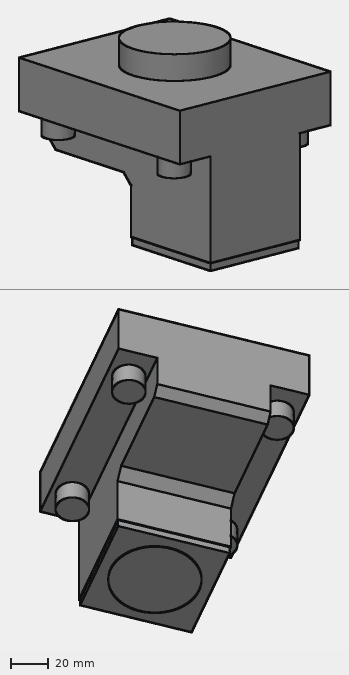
import cadquery as cq

plate_length = 130.0
plate_width = 108.0
plate_height = 30.0

boss_diameter = 59.9
boss_height = 15.0

leg_side = 64.2
leg_depth = 59.9
arm_depth = 25.0
outer_chamfer = 5.1
inner_chamfer = 6.0

pad_side = 63.2
pad_height = 4.5
disc_diameter = 50.0
disc_height = 0.5

pin_diameter = 18.0
pin_length = 11.7
pin_spacing_x = 93.6
pin_spacing_y = 84.0

right_x = plate_length / 2
left_x = -right_x
leg_left_x = right_x - leg_side
leg_center_x = right_x - leg_side / 2


def make_plate():
    plate = cq.Workplane("XY").box(plate_length, plate_width, plate_height, centered=(True, True, False))
    return plate.faces(">Z").workplane().circle(boss_diameter / 2).extrude(boss_height)


def make_body():
    outline = [
        (left_x, 0),
        (right_x, 0),
        (right_x, -leg_depth),
        (leg_left_x, -leg_depth),
        (leg_left_x, -arm_depth - inner_chamfer),
        (leg_left_x - inner_chamfer, -arm_depth),
        (left_x + outer_chamfer, -arm_depth),
        (left_x, -arm_depth + outer_chamfer),
    ]
    return cq.Workplane("XZ").polyline(outline).close().extrude(leg_side / 2, both=True)


def make_foot():
    pad = cq.Workplane("XY", origin=(leg_center_x, 0, -leg_depth)).rect(pad_side, pad_side).extrude(-pad_height)
    disc_top = -leg_depth - pad_height
    disc = cq.Workplane("XY", origin=(leg_center_x, 0, disc_top)).circle(disc_diameter / 2).extrude(-disc_height)
    return pad.union(disc)


def make_pins():
    centers = cq.Workplane("XY").rect(pin_spacing_x, pin_spacing_y, forConstruction=True).vertices()
    return centers.circle(pin_diameter / 2).extrude(-pin_length)


result = make_plate().union(make_body()).union(make_foot()).union(make_pins())